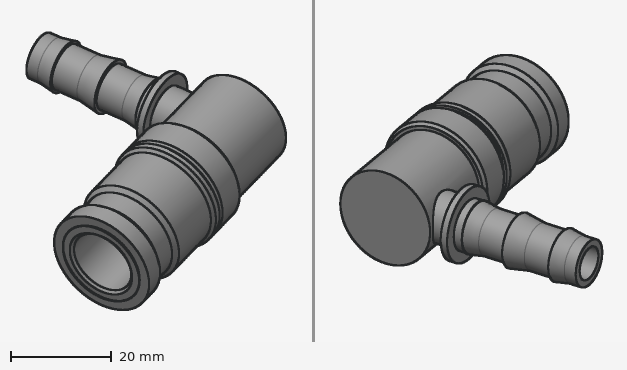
import cadquery as cq
import math

tube_radius = 10.5
collar_radius = 12.0
barrel_radius = 11.25
neck_radius = 10.25
edge_chamfer = 0.65

back_y = 6.5
collar_back_y = -11.95
collar_front_y = -18.8
ring_back_y = -19.85
ring_front_y = -21.2
neck_back_y = -33.45
neck_front_y = -40.3
barrel_front_y = -44.3

passage_radius = 3.7
tail_bore_radius = 3.5

liner_radius = 9.05
liner_bore_radius = 6.75
liner_mouth_chamfer = 0.6
liner_projection = 0.2
liner_front_y = barrel_front_y - liner_projection
liner_back_y = collar_back_y

tail_length = 55.5 - collar_radius
tail_tip_x = -tail_length
tail_radius = 5
stem_radius = 5.5
barb_angle = 10
barb_spans = [(-40.85, -37.45), (-31.5, -26.85), (-20.85, -17.3)]
stem_start_x = barb_spans[-1][1]
flange_radius = 8.0
flange_start_x = -15.4
flange_thickness = 1.5


def cylinder_along_x(radius, start_x, end_x):
    return cq.Workplane("YZ", origin=(start_x, 0, 0)).circle(radius).extrude(end_x - start_x)


def cylinder_along_y(radius, back, front):
    """Cylinder from the back position toward the front, which is the -Y end."""
    return cq.Workplane("XZ", origin=(0, back, 0)).circle(radius).extrude(back - front)


def make_barrel():
    """Solid barrel with collar, narrow ring and locking neck, turned about Y."""
    chamfered_collar_radius = collar_radius - edge_chamfer
    neck_chamfer = barrel_radius - neck_radius
    ring_chamfer = collar_radius - barrel_radius
    profile = [
        (0, back_y),
        (tube_radius, back_y),
        (tube_radius, collar_back_y),
        (chamfered_collar_radius, collar_back_y),
        (collar_radius, collar_back_y - edge_chamfer),
        (collar_radius, collar_front_y),
        (chamfered_collar_radius, collar_front_y - edge_chamfer),
        (chamfered_collar_radius, ring_back_y),
        (collar_radius, ring_back_y),
        (collar_radius, ring_front_y),
        (barrel_radius, ring_front_y - ring_chamfer),
        (barrel_radius, neck_back_y),
        (neck_radius, neck_back_y - neck_chamfer),
        (neck_radius, neck_front_y + neck_chamfer),
        (barrel_radius, neck_front_y),
        (barrel_radius, barrel_front_y),
        (0, barrel_front_y),
    ]
    return cq.Workplane("XY").polyline(profile).close().revolve(360, (0, 0, 0), (0, 1, 0))


def make_barb(start_x, end_x):
    """Cone that widens from the tail radius toward the barrel."""
    barb_radius = tail_radius + (end_x - start_x) * math.tan(math.radians(barb_angle))
    profile = [(start_x, 0), (start_x, tail_radius), (end_x, barb_radius), (end_x, 0)]
    return cq.Workplane("XY").polyline(profile).close().revolve(360, (0, 0, 0), (1, 0, 0))


def make_hose_tail():
    """Solid barbed tail with its hose stop flange, reaching to the barrel axis."""
    tail = cylinder_along_x(tail_radius, tail_tip_x, stem_start_x)
    tail = tail.union(cylinder_along_x(stem_radius, stem_start_x, 0))
    for start_x, end_x in barb_spans:
        tail = tail.union(make_barb(start_x, end_x))
    flange_end_x = flange_start_x + flange_thickness
    return tail.union(cylinder_along_x(flange_radius, flange_start_x, flange_end_x))


def make_housing():
    """Elbow with an L-shaped passage and a socket for the liner."""
    elbow = make_barrel().union(make_hose_tail())
    elbow = elbow.cut(cylinder_along_y(liner_radius, liner_back_y, barrel_front_y))
    elbow = elbow.cut(cylinder_along_y(passage_radius, passage_radius, liner_back_y))
    return elbow.cut(cylinder_along_x(tail_bore_radius, tail_tip_x, 0))


def make_liner():
    """Plain sleeve seated on the socket floor, with a chamfered mouth."""
    sleeve = cylinder_along_y(liner_radius, liner_back_y, liner_front_y)
    sleeve = sleeve.cut(cylinder_along_y(liner_bore_radius, liner_back_y, liner_front_y))
    mouth_edge = cq.selectors.RadiusNthSelector(0)
    return sleeve.faces("<Y").edges(mouth_edge).chamfer(liner_mouth_chamfer)


housing = make_housing()
liner = make_liner()
result = cq.Compound.makeCompound([housing.solids().val(), liner.solids().val()])